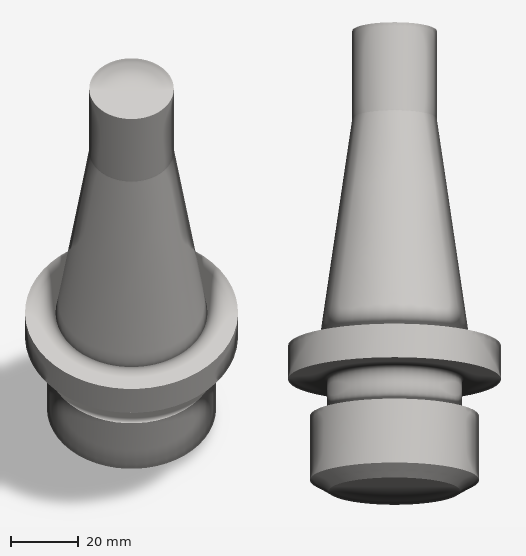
import cadquery as cq

shank_diameter = 25.0
taper_diameter = 44.8
flange_diameter = 62.8
neck_diameter = 40.0
nut_diameter = 49.9
nut_face_diameter = 38.8

neck_fillet = 0.8

total_height = 138.7
nut_bevel_height = 3.3
nut_top = 22.6
flange_bottom = 33.7
flange_top = 43.8
taper_top = 112.2


def radial_point(diameter, height):
    """Point of the half profile in the XZ plane."""
    return (diameter / 2, height)


profile = [
    (0, 0),
    radial_point(nut_face_diameter, 0),
    radial_point(nut_diameter, nut_bevel_height),
    radial_point(nut_diameter, nut_top),
    radial_point(neck_diameter, nut_top),
    radial_point(neck_diameter, flange_bottom),
    radial_point(flange_diameter, flange_bottom),
    radial_point(flange_diameter, flange_top),
    radial_point(taper_diameter, flange_top),
    radial_point(shank_diameter, taper_top),
    radial_point(shank_diameter, total_height),
    (0, total_height),
]

body = cq.Workplane("XZ").polyline(profile).close().revolve(360, (0, 0, 0), (0, 1, 0))

corner_margin = 0.1
corner_box = cq.selectors.BoxSelector(
    (-nut_diameter / 2, -nut_diameter / 2, flange_bottom - corner_margin),
    (nut_diameter / 2, nut_diameter / 2, flange_bottom + corner_margin),
    boundingbox=True,
)
result = body.edges(corner_box).fillet(neck_fillet)